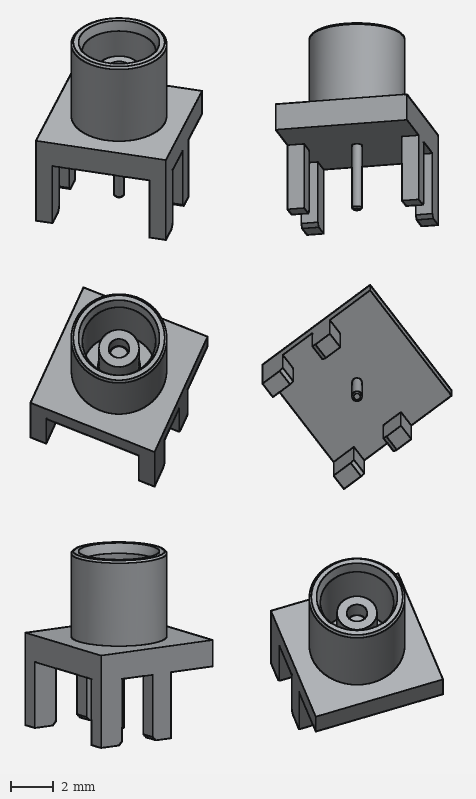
import cadquery as cq

total_height = 8.54
plate_side = 6.35
plate_thickness = 1.27
leg_length = 3.18
plate_top = leg_length + plate_thickness

barrel_diameter = 4.5
barrel_chamfer = 0.1
mouth_diameter = 3.81
bore_diameter = 3.45
mouth_depth = 0.46

post_diameter = 1.89
post_base_diameter = 2.0
post_base_height = 0.43
post_top = total_height - 1.37
socket_diameter = 0.96
socket_depth = 0.85
contact_tip_chamfer = 0.04

leg_thickness = 0.81
leg_chamfer = 0.19
front_leg_width = 1.2
rear_leg_width = 1.04
rear_leg_front_face = -0.24

pin_diameter = 0.48
pin_chamfer = 0.085


def cylinder(diameter, bottom, top):
    """Upright cylinder on the Z axis."""
    return cq.Workplane("XY").workplane(offset=bottom).circle(diameter / 2).extrude(top - bottom)


def make_plate():
    plate = cq.Workplane("XY").box(plate_side, plate_side, plate_thickness, centered=(True, True, False))
    return plate.translate((0, 0, leg_length))


def make_barrel():
    """Barrel with a chamfered rim and a bore that flares towards its mouth."""
    barrel = cylinder(barrel_diameter, plate_top, total_height).faces(">Z").chamfer(barrel_chamfer)
    bore = cylinder(bore_diameter, plate_top, total_height)
    mouth = (
        cq.Workplane("XY")
        .workplane(offset=total_height - mouth_depth)
        .circle(bore_diameter / 2)
        .workplane(offset=mouth_depth)
        .circle(mouth_diameter / 2)
        .loft()
    )
    return barrel.cut(bore).cut(mouth)


def make_post():
    """Post on a slightly wider foot, with a chamfered contact tip down in its socket."""
    foot = cylinder(post_base_diameter, plate_top, plate_top + post_base_height)
    post = cylinder(post_diameter, plate_top, post_top).union(foot)
    socket_floor = post_top - socket_depth
    socket = cylinder(socket_diameter, plate_top, post_top)
    contact = cylinder(socket_diameter, plate_top, socket_floor).faces(">Z").chamfer(contact_tip_chamfer)
    return post.cut(socket).union(contact)


def make_leg(side, outer_y, inner_y):
    """Leg flush with an X side of the plate; its tip is chamfered at inner_y."""
    toward_outer = 1 if outer_y > inner_y else -1
    profile = [
        (outer_y, leg_length),
        (outer_y, 0),
        (inner_y + toward_outer * leg_chamfer, 0),
        (inner_y, leg_chamfer),
        (inner_y, leg_length),
    ]
    leg = cq.Workplane("YZ").polyline(profile).close().extrude(leg_thickness / 2, both=True)
    return leg.translate((side * (plate_side - leg_thickness) / 2, 0, 0))


def make_pin():
    return cylinder(pin_diameter, 0, leg_length).faces("<Z").chamfer(pin_chamfer)


result = make_plate().union(make_barrel()).union(make_post()).union(make_pin())

front_edge = -plate_side / 2
for side in (-1, 1):
    front_leg = make_leg(side, front_edge, front_edge + front_leg_width)
    rear_leg = make_leg(side, rear_leg_front_face + rear_leg_width, rear_leg_front_face)
    result = result.union(front_leg).union(rear_leg)